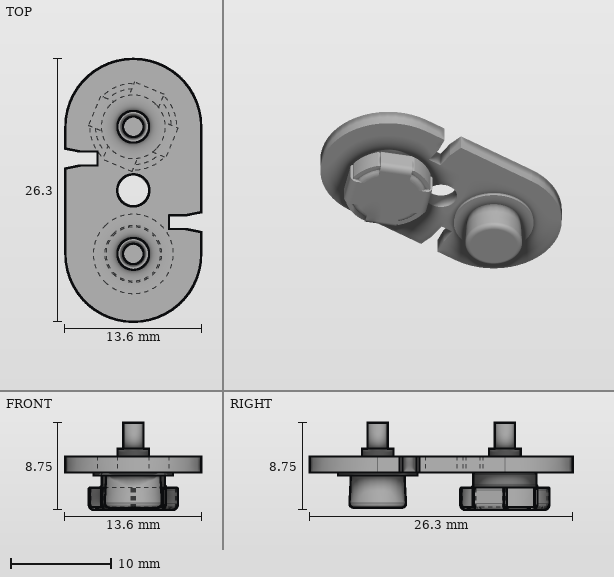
import cadquery as cq
import math

PLATE_LENGTH = 26.3
PLATE_WIDTH = 13.6
PLATE_THICKNESS = 1.6
AXIS_SPACING = PLATE_LENGTH - PLATE_WIDTH
AXIS_Y = AXIS_SPACING / 2
CENTRE_HOLE_DIAMETER = 3.18

NOTCH_DEPTH = 3.2
NOTCH_WIDTH = 1.37
NOTCH_MOUTH_WIDTH = 1.97
NOTCH_MOUTH_DEPTH = 1.5
NOTCH_Y = AXIS_Y / 2

COLLAR_DIAMETER = 3.18
COLLAR_HEIGHT = 0.8
PIN_DIAMETER = 2.05
PIN_HEIGHT = 2.6

FLANGE_DIAMETER = 7.97
FLANGE_THICKNESS = 0.32
FOOT_HEIGHT = 3.52
FOOT_TOP_DIAMETER = 5.42
FOOT_BOTTOM_DIAMETER = 5.73
FOOT_ROUND = 0.47

KNOB_HEIGHT = 3.75
NECK_DIAMETER = 6.35
NECK_HEIGHT = 1.5
NECK_TOP_ROUND = 0.2
NECK_ROOT_ROUND = 0.24
HEAD_HEIGHT = KNOB_HEIGHT - NECK_HEIGHT
CORE_DIAMETER = 8.68
CORE_ACROSS_FLATS = 7.83
BASE_DIAMETER = 7.73
BASE_HEIGHT = 0.35
BASE_ROUND = 0.65
PAD_SPAN = 8.35
PAD_WIDTH = 3.18
PAD_ANGLE = -22.5
PAD_TOP_ROUND = 0.24
PAD_BOTTOM_ROUND = 0.65
PAD_BAR_ANGLES = (PAD_ANGLE, PAD_ANGLE + 90)


def make_plate():
    """Plate with round ends, a centre hole and two opposite edge notches."""
    plate = (
        cq.Workplane("XY")
        .slot2D(PLATE_LENGTH, PLATE_WIDTH, 90)
        .circle(CENTRE_HOLE_DIAMETER / 2)
        .extrude(PLATE_THICKNESS)
    )
    notch = make_left_notch()
    opposite_notch = notch.rotate((0, 0, 0), (0, 0, 1), 180)
    return plate.cut(notch).cut(opposite_notch)


def make_left_notch():
    """Cutter for the notch that opens on the -X side."""
    edge_x = -PLATE_WIDTH / 2
    mouth_x = edge_x + NOTCH_MOUTH_DEPTH
    end_x = edge_x + NOTCH_DEPTH
    outline = [
        (edge_x, NOTCH_Y - NOTCH_MOUTH_WIDTH / 2),
        (mouth_x, NOTCH_Y - NOTCH_WIDTH / 2),
        (end_x, NOTCH_Y - NOTCH_WIDTH / 2),
        (end_x, NOTCH_Y + NOTCH_WIDTH / 2),
        (mouth_x, NOTCH_Y + NOTCH_WIDTH / 2),
        (edge_x, NOTCH_Y + NOTCH_MOUTH_WIDTH / 2),
    ]
    return cq.Workplane("XY").polyline(outline).close().extrude(PLATE_THICKNESS)


def make_pin(axis_y):
    """Stepped pin with a collar resting on the top of the plate."""
    return (
        cq.Workplane("XY", origin=(0, axis_y, PLATE_THICKNESS))
        .circle(COLLAR_DIAMETER / 2)
        .extrude(COLLAR_HEIGHT)
        .faces(">Z")
        .workplane()
        .circle(PIN_DIAMETER / 2)
        .extrude(PIN_HEIGHT)
    )


def make_tapered_foot():
    """Foot that widens downward from a thin flange and has a rounded bottom edge."""
    flange = cq.Workplane("XY").circle(FLANGE_DIAMETER / 2).extrude(-FLANGE_THICKNESS)
    stem = (
        cq.Workplane("XY", origin=(0, 0, -FLANGE_THICKNESS))
        .circle(FOOT_TOP_DIAMETER / 2)
        .workplane(offset=FLANGE_THICKNESS - FOOT_HEIGHT)
        .circle(FOOT_BOTTOM_DIAMETER / 2)
        .loft()
        .faces("<Z")
        .edges()
        .fillet(FOOT_ROUND)
    )
    return flange.union(stem).translate((0, -AXIS_Y, 0))


def make_pad_bar(angle):
    """Bar across the knob whose two rounded ends form opposite flat pads."""
    return (
        cq.Workplane("XY", origin=(0, 0, -KNOB_HEIGHT))
        .rect(PAD_SPAN, PAD_WIDTH)
        .extrude(HEAD_HEIGHT)
        .edges("|Y and >Z")
        .fillet(PAD_TOP_ROUND)
        .edges("|Y and <Z")
        .fillet(PAD_BOTTOM_ROUND)
        .rotate((0, 0, 0), (0, 0, 1), angle)
    )


def make_knob_core():
    """Round core with four recessed flats behind the pads, overhanging a smaller base."""
    core_height = HEAD_HEIGHT - BASE_HEIGHT
    flats = (
        cq.Workplane("XY", origin=(0, 0, -NECK_HEIGHT))
        .rect(CORE_ACROSS_FLATS, CORE_ACROSS_FLATS)
        .extrude(-core_height)
        .rotate((0, 0, 0), (0, 0, 1), PAD_ANGLE)
    )
    core = (
        cq.Workplane("XY", origin=(0, 0, -NECK_HEIGHT))
        .circle(CORE_DIAMETER / 2)
        .extrude(-core_height)
        .intersect(flats)
    )
    base = (
        cq.Workplane("XY", origin=(0, 0, -NECK_HEIGHT))
        .circle(BASE_DIAMETER / 2)
        .extrude(-HEAD_HEIGHT)
        .faces("<Z")
        .edges()
        .fillet(BASE_ROUND)
    )
    return core.union(base)


def make_knob_neck():
    """Round neck with a rounded top edge and a hollow fillet where it meets the head."""
    radius = NECK_DIAMETER / 2
    blend_offset = NECK_ROOT_ROUND * (1 - math.sqrt(0.5))
    top_offset = NECK_TOP_ROUND * (1 - math.sqrt(0.5))
    return (
        cq.Workplane("XZ")
        .moveTo(0, 0)
        .lineTo(radius - NECK_TOP_ROUND, 0)
        .threePointArc((radius - top_offset, -top_offset), (radius, -NECK_TOP_ROUND))
        .lineTo(radius, NECK_ROOT_ROUND - NECK_HEIGHT)
        .threePointArc(
            (radius + blend_offset, blend_offset - NECK_HEIGHT),
            (radius + NECK_ROOT_ROUND, -NECK_HEIGHT),
        )
        .lineTo(0, -NECK_HEIGHT)
        .close()
        .revolve(360, (0, 0, 0), (0, 1, 0))
    )


def make_knob():
    """Knob whose head has four flat pads alternating with round stretches of its core."""
    knob = make_knob_core().union(make_knob_neck())
    for bar_angle in PAD_BAR_ANGLES:
        knob = knob.union(make_pad_bar(bar_angle))
    return knob.translate((0, AXIS_Y, 0))


plate = make_plate()
pins = [make_pin(axis_y) for axis_y in (-AXIS_Y, AXIS_Y)]
tapered_foot = make_tapered_foot()
knob = make_knob()

result = cq.Compound.makeCompound(
    [plate.val(), *[pin.val() for pin in pins], tapered_foot.val(), knob.val()]
)